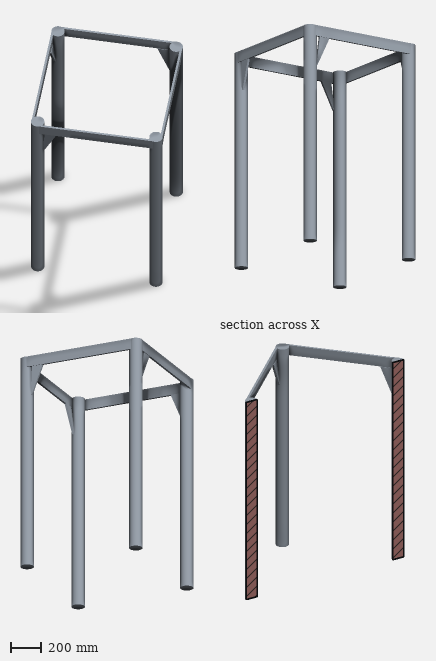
import cadquery as cq
import math

height = 1473.0
overall_width = 1207.0
leg_diameter = 88.0
leg_radius = leg_diameter / 2
leg_circle_radius = overall_width / 2 - leg_radius
leg_count = 4
leg_spacing = leg_circle_radius * math.sqrt(2)

rail_height = 74.0
rail_thickness = 15.0
rail_end_inset = 15.0
rail_length = leg_spacing - 2 * rail_end_inset
rail_outer_offset = math.sqrt(leg_radius**2 - rail_end_inset**2)
rail_bottom = height - rail_height

brace_bottom = 1208.0
brace_thickness = 15.0
brace_top_start = 53.0
brace_top_end = 130.0
brace_top_offset = 31.0
brace_foot_start = 35.0
brace_foot_end = 44.0
brace_foot_offset = 15.0


def make_leg():
    return cq.Workplane("XY").circle(leg_radius).extrude(height)


def make_rail():
    return cq.Workplane("XY").box(
        rail_length, rail_thickness, rail_height, centered=(False, False, False)
    ).translate((rail_end_inset, -rail_outer_offset, rail_bottom))


def make_brace():
    foot_centre = ((brace_foot_start + brace_foot_end) / 2, -brace_foot_offset)
    top_centre = ((brace_top_start + brace_top_end) / 2, -brace_top_offset)
    return (
        cq.Workplane("XY")
        .workplane(offset=brace_bottom)
        .center(*foot_centre)
        .rect(brace_foot_end - brace_foot_start, brace_thickness)
        .workplane(offset=rail_bottom - brace_bottom)
        .center(top_centre[0] - foot_centre[0], top_centre[1] - foot_centre[1])
        .rect(brace_top_end - brace_top_start, brace_thickness)
        .loft(ruled=True)
    )


def make_side():
    """One leg at the origin, with its rail and brace running along +X."""
    return make_leg().union(make_rail()).union(make_brace())


side = (
    make_side()
    .rotate((0, 0, 0), (0, 0, 1), -45)
    .translate((-leg_circle_radius, 0, 0))
)

result = side
for index in range(1, leg_count):
    result = result.union(side.rotate((0, 0, 0), (0, 0, 1), index * 360 / leg_count))